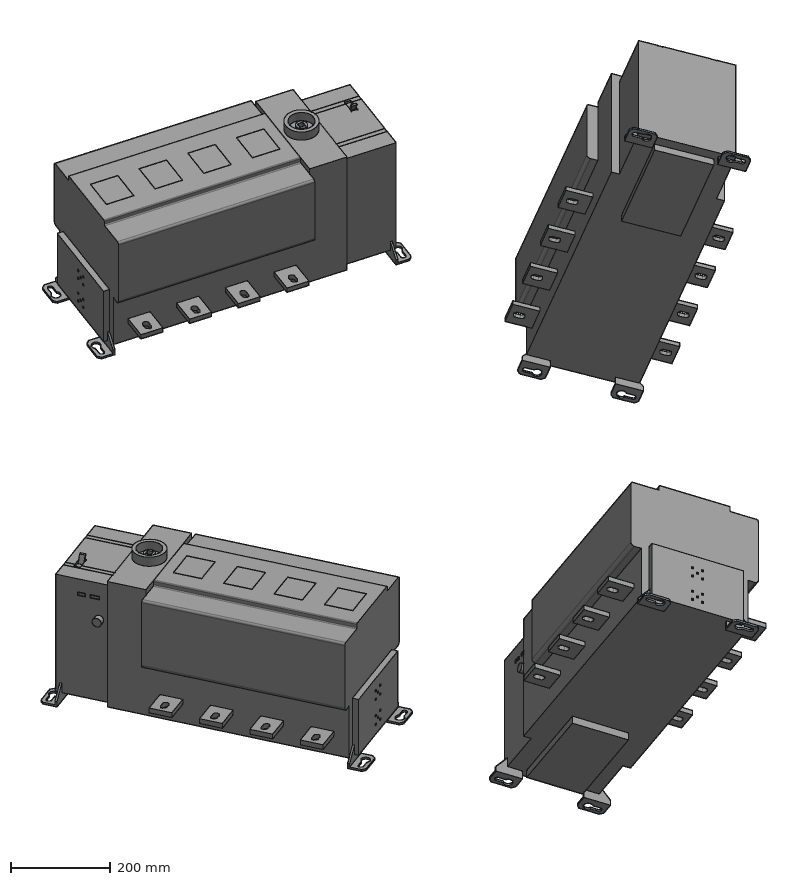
import cadquery as cq

body_bottom = 20.0
body_top = 314.0
collar_top = 335.5
cover_bottom = 142.0
cover_top = 301.0
ridge_top = 313.5
mechanism_top = 295.0

total_length = 709.0
body_front = -317.0
cover_back = 126.0
body_back = 210.5
mechanism_back = 330.5

cover_half_width = 144.0
ridge_half_width = 80.0
body_half_width = 120.5
mechanism_half_width = 103.5

cover_top_radius = 5.0
cover_bottom_radius = 8.0
ridge_radius = 2.0

pole_count = 4
pole_pitch = 110.0
first_pole_y = 71.0
terminal_tip = 178.0
terminal_width = 49.5
terminal_thickness = 11.0
terminal_bottom = 64.0
terminal_slot_length = 24.0
terminal_slot_width = 13.5
terminal_slot_x = 156.0
window_width = 71.5
window_length = 62.0
engraving_depth = 1.0

collar_y = 169.0
collar_radius = 35.5
collar_bore_radius = 27.0
socket_radius = 12.0
socket_height = 11.0
socket_square = 12.0

seam_inner = 52.5
seam_outer = 63.0
lever_y = 302.0
lever_pocket_left = -59.0
lever_pocket_right = -26.0
lever_pocket_width = 14.0
lever_pocket_depth = 6.0
lever_width = 12.0
lever_foot_x = -40.0
lever_lean = 8.5
lever_thickness = 5.0
lever_tip_height = 308.0

button_y = 235.5
button_z = 210.0
button_radius = 10.0
button_length = 13.5
slit_centers_y = (274.5, 245.0)
slit_lengths = (15.5, 20.0)
slit_z = 259.5
slit_height = 7.0
slit_depth = 2.0

plate_thickness = 13.5
plate_top = 151.0
recess_clusters = ((111.0, 1), (52.0, -1))
recess_width = 4.0
recess_height = 3.2
recess_depth = 2.0
recess_spread_x = 11.0
recess_rise = 10.0
recess_drop = 10.5

base_half_width = 63.0
base_bottom = 2.0
base_front = 105.5
base_back = 311.0

foot_inner = 69.5
foot_outer = 129.0
foot_thickness = 4.6
foot_corner = 7.0
foot_web_y = -body_front
foot_web_top = 47.0
foot_web_edge = 13.0
foot_web_run = 30.0
keyhole_y = 340.0
keyhole_x = 90.0
keyhole_radius = 10.0
keyhole_slot_end = 120.5
keyhole_slot_width = 11.0


def block(x0, x1, y0, y1, z0, z1):
    """Box between two opposite corners."""
    return cq.Workplane("XY").box(x1 - x0, y1 - y0, z1 - z0, centered=False).translate((x0, y0, z0))


def centered_block(half_width, y0, y1, z0, z1):
    """Box placed symmetrically about X = 0."""
    return block(-half_width, half_width, y0, y1, z0, z1)


def both_sides(solid):
    """The solid together with its mirror image across X = 0."""
    return solid.union(solid.mirror("YZ"))


def pole_positions():
    return [first_pole_y - pole_pitch * pole for pole in range(pole_count)]


def make_cover():
    """Wide cover with rounded long edges and a raised middle ridge."""
    cover = centered_block(cover_half_width, body_front, cover_back, cover_bottom, cover_top)
    cover = cover.edges("|Y and >Z").fillet(cover_top_radius)
    cover = cover.edges("|Y and <Z").fillet(cover_bottom_radius)
    ridge = centered_block(ridge_half_width, body_front, cover_back, cover_bottom, ridge_top)
    ridge = ridge.edges("|Y and >Z").fillet(ridge_radius)
    cover = cover.union(ridge)
    for x in (-ridge_half_width, ridge_half_width):
        corner = cq.selectors.NearestToPointSelector((x, (body_front + cover_back) / 2, cover_top))
        cover = cover.edges(corner).fillet(ridge_radius)
    return cover


def make_windows():
    """Shallow rectangles to engrave on the ridge, one per pole."""
    centers = [(0, y) for y in pole_positions()]
    return (
        cq.Workplane("XY", origin=(0, 0, ridge_top - engraving_depth))
        .pushPoints(centers)
        .rect(window_width, window_length)
        .extrude(engraving_depth)
    )


def make_terminal(y):
    """Slotted terminal tab on the right side."""
    half = terminal_width / 2
    tab = block(
        0, terminal_tip, y - half, y + half, terminal_bottom, terminal_bottom + terminal_thickness
    )
    slot = (
        cq.Workplane("XY", origin=(terminal_slot_x, y, terminal_bottom))
        .slot2D(terminal_slot_length, terminal_slot_width)
        .extrude(terminal_thickness)
    )
    return tab.cut(slot)


def make_collar():
    """Ring around a short socket with a square key hole."""
    top_of_body = cq.Workplane("XY", origin=(0, collar_y, body_top))
    ring = top_of_body.circle(collar_radius).circle(collar_bore_radius).extrude(collar_top - body_top)
    socket = (
        top_of_body.circle(socket_radius).rect(socket_square, socket_square).extrude(socket_height)
    )
    return ring.union(socket)


def make_seams():
    """Shallow strips along the top of the mechanism housing."""
    strip = block(
        seam_inner, seam_outer, body_back, mechanism_back, mechanism_top - engraving_depth, mechanism_top
    )
    return both_sides(strip)


def make_lever_pocket():
    half = lever_pocket_width / 2
    return block(
        lever_pocket_left,
        lever_pocket_right,
        lever_y - half,
        lever_y + half,
        mechanism_top - lever_pocket_depth,
        mechanism_top,
    )


def make_lever():
    """Leaning lever standing on the floor of its pocket."""
    floor = mechanism_top - lever_pocket_depth
    return (
        cq.Workplane("XZ", origin=(0, lever_y + lever_width / 2, 0))
        .moveTo(lever_foot_x, floor)
        .lineTo(lever_foot_x + lever_lean, lever_tip_height)
        .lineTo(lever_foot_x + lever_lean + lever_thickness, lever_tip_height)
        .lineTo(lever_foot_x + lever_thickness, floor)
        .close()
        .extrude(lever_width)
    )


def make_button():
    return (
        cq.Workplane("YZ", origin=(-mechanism_half_width, button_y, button_z))
        .circle(button_radius)
        .extrude(-button_length)
    )


def make_slits():
    """Two narrow recesses in the left side of the mechanism housing."""
    slits = cq.Workplane("XY")
    for y, length in zip(slit_centers_y, slit_lengths):
        slits = slits.union(
            cq.Workplane("YZ", origin=(-mechanism_half_width, y, slit_z))
            .rect(length, slit_height)
            .extrude(slit_depth)
        )
    return slits


def make_mechanism():
    """Narrow housing behind the body with its lever, button and recesses."""
    housing = centered_block(
        mechanism_half_width, body_back, mechanism_back, body_bottom, mechanism_top
    )
    housing = housing.cut(make_seams()).cut(make_slits()).cut(make_lever_pocket())
    return housing.union(make_lever()).union(make_button())


def make_front_plate():
    """Plate on the front end with two mirrored clusters of five small recesses."""
    plate_front = body_front - plate_thickness
    plate = centered_block(mechanism_half_width, plate_front, body_front, body_bottom, plate_top)
    centers = []
    for middle_z, direction in recess_clusters:
        centers.append((0, middle_z))
        for x in (-recess_spread_x, recess_spread_x):
            centers.append((x, middle_z + direction * recess_rise))
            centers.append((x, middle_z - direction * recess_drop))
    recesses = (
        cq.Workplane("XZ", origin=(0, plate_front, 0))
        .pushPoints(centers)
        .rect(recess_width, recess_height)
        .extrude(-recess_depth)
    )
    return plate.cut(recesses)


def make_back_foot():
    """Right back foot: a keyholed flange with a web that slopes down outwards."""
    flange = block(foot_inner, foot_outer, foot_web_y, total_length / 2, 0, foot_thickness)
    flange = flange.edges("|Z and >Y").chamfer(foot_corner)
    slot_length = keyhole_slot_end - keyhole_x
    keyhole = (
        cq.Workplane("XY", origin=(keyhole_x, keyhole_y, 0)).circle(keyhole_radius).extrude(foot_thickness)
    )
    slot = (
        cq.Workplane("XY", origin=(keyhole_slot_end - slot_length / 2, keyhole_y, 0))
        .slot2D(slot_length, keyhole_slot_width)
        .extrude(foot_thickness)
    )
    web = (
        cq.Workplane("XZ", origin=(0, foot_web_y, 0))
        .moveTo(foot_inner, 0)
        .lineTo(foot_outer, 0)
        .lineTo(foot_outer, foot_web_edge)
        .lineTo(foot_outer - foot_web_run, foot_web_top)
        .lineTo(foot_inner, foot_web_top)
        .close()
        .extrude(-foot_thickness)
    )
    return flange.cut(keyhole).cut(slot).union(web)


def make_feet():
    """Four feet, mirrored left to right and front to back."""
    back_feet = both_sides(make_back_foot())
    return back_feet.union(back_feet.mirror("XZ"))


body = centered_block(body_half_width, body_front, body_back, body_bottom, cover_top)
body = body.union(centered_block(body_half_width, cover_back, body_back, body_bottom, body_top))
body = body.union(make_cover()).cut(make_windows())
for pole_y in pole_positions():
    body = body.union(both_sides(make_terminal(pole_y)))

base = centered_block(base_half_width, base_front, base_back, base_bottom, body_bottom)

result = (
    body.union(make_mechanism())
    .union(make_collar())
    .union(make_front_plate())
    .union(base)
    .union(make_feet())
)